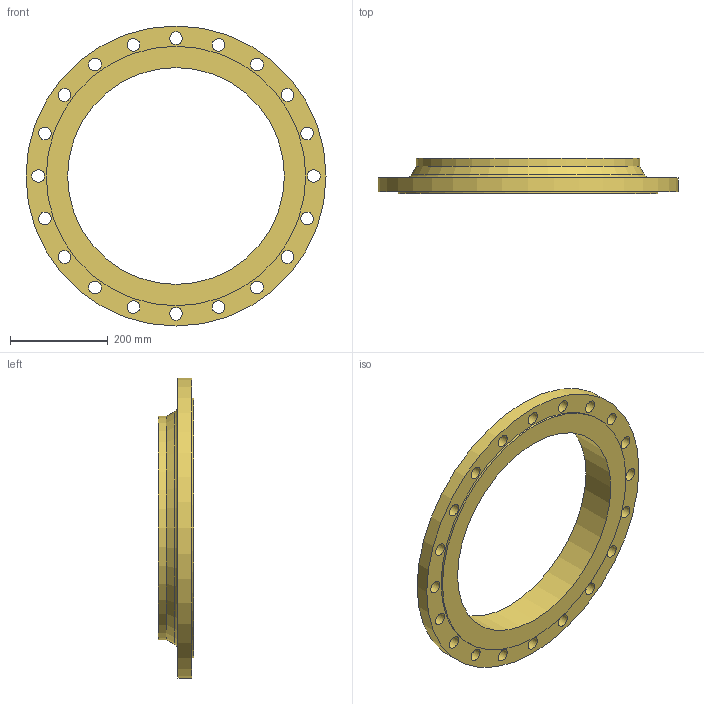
import cadquery as cq

FLANGE_DIAMETER = 615.0
BORE_DIAMETER = 444.4
TOTAL_LENGTH = 72.0

FLANGE_THICKNESS = 32.0
RAISED_FACE_DIAMETER = 532.0
RAISED_FACE_HEIGHT = 4.0

NECK_DIAMETER = 458.0
NECK_LENGTH = 16.0
HUB_DIAMETER = 484.0
HUB_FILLET = 12.0
HUB_RANK = 2

BOLT_COUNT = 20
BOLT_CIRCLE_DIAMETER = 565.0
BOLT_HOLE_DIAMETER = 26.0

FACE_Y = -TOTAL_LENGTH / 2
FLANGE_FRONT_Y = FACE_Y + RAISED_FACE_HEIGHT
FLANGE_BACK_Y = FACE_Y + FLANGE_THICKNESS
NECK_END_Y = FACE_Y + TOTAL_LENGTH
CONE_END_Y = NECK_END_Y - NECK_LENGTH


def flange_body():
    """Revolve the half section (radius, Y) about the Y axis."""
    bore_radius = BORE_DIAMETER / 2
    face_radius = RAISED_FACE_DIAMETER / 2
    flange_radius = FLANGE_DIAMETER / 2
    hub_radius = HUB_DIAMETER / 2
    neck_radius = NECK_DIAMETER / 2
    section = (
        cq.Workplane("XY")
        .moveTo(bore_radius, FACE_Y)
        .lineTo(face_radius, FACE_Y)
        .lineTo(face_radius, FLANGE_FRONT_Y)
        .lineTo(flange_radius, FLANGE_FRONT_Y)
        .lineTo(flange_radius, FLANGE_BACK_Y)
        .lineTo(hub_radius, FLANGE_BACK_Y)
        .lineTo(neck_radius, CONE_END_Y)
        .lineTo(neck_radius, NECK_END_Y)
        .lineTo(bore_radius, NECK_END_Y)
        .close()
    )
    return section.revolve(360, (0, 0, 0), (0, 1, 0))


def fillet_hub(body):
    """Round the inside corner where the cone meets the back of the flange."""
    hub_corner = cq.selectors.RadiusNthSelector(HUB_RANK)
    return body.edges("%CIRCLE").edges(hub_corner).fillet(HUB_FILLET)


def cut_bolt_holes(body):
    """Drill the through holes, evenly spaced with one on the +X axis."""
    holes = (
        cq.Workplane("XZ", origin=(0, FLANGE_BACK_Y, 0))
        .polarArray(BOLT_CIRCLE_DIAMETER / 2, 0, 360, BOLT_COUNT)
        .circle(BOLT_HOLE_DIAMETER / 2)
        .extrude(FLANGE_THICKNESS)
    )
    return body.cut(holes)


result = cut_bolt_holes(fillet_hub(flange_body()))